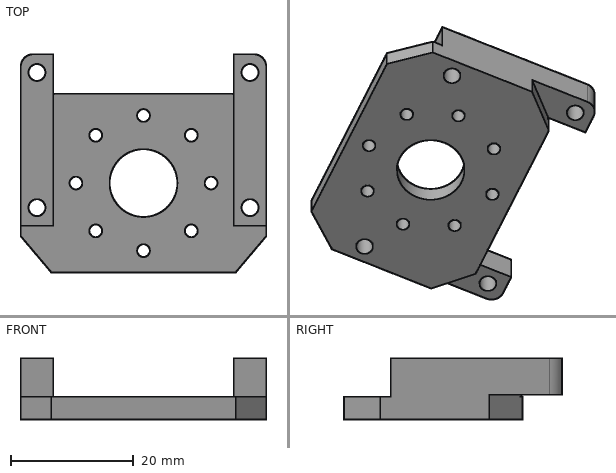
import cadquery as cq

width = 40.0
depth = 35.55
height = 10.0

plate_length = 29.1
plate_thickness = 3.7
front_chamfer_x = 5.0
front_chamfer_y = 5.9
back_chamfer = 5.5

rail_width = 5.3
rail_length = 27.9
rail_underside = 4.0
rail_corner_radius = 2.1
rail_hole_diameter = 2.7
rail_hole_spacing = 22.0
rail_hole_back_margin = 3.0

bore_diameter = 11.0
bolt_circle_diameter = 22.0
bolt_hole_diameter = 2.05
bolt_hole_count = 8

half_width = width / 2
plate_front = -plate_length / 2
plate_back = plate_length / 2
rail_back = plate_front + depth
rail_front = rail_back - rail_length


def make_plate(thickness):
    """Plate of a given thickness with all four corners cut off at an angle."""
    right_side = [
        (half_width - front_chamfer_x, plate_front),
        (half_width, plate_front + front_chamfer_y),
        (half_width, plate_back - back_chamfer),
        (half_width - back_chamfer, plate_back),
    ]
    left_side = [(-x, y) for x, y in reversed(right_side)]
    return cq.Workplane("XY").polyline(right_side + left_side).close().extrude(thickness)


def make_rail(side):
    """Rail on one side (-1 left, +1 right), raised clear of the plate's back corner."""
    rail_x = side * (half_width - rail_width / 2)
    rail_y = (rail_front + rail_back) / 2
    outer_back_edge = "|Z and >Y and " + (">X" if side > 0 else "<X")
    full_height_rail = (
        cq.Workplane("XY")
        .center(rail_x, rail_y)
        .box(rail_width, rail_length, height, centered=(True, True, False))
        .edges(outer_back_edge)
        .fillet(rail_corner_radius)
    )
    below_rail = cq.Workplane("XY").rect(2 * width, 2 * depth).extrude(rail_underside)
    upper = full_height_rail.cut(below_rail)
    foot = full_height_rail.intersect(make_plate(rail_underside))
    return upper.union(foot)


def cut_holes(body):
    """Bore, bolt circle and rail holes, all through."""
    rail_hole_x = half_width - rail_width / 2
    rail_hole_back = rail_back - rail_hole_back_margin
    rail_hole_points = [
        (side * rail_hole_x, y)
        for side in (-1, 1)
        for y in (rail_hole_back, rail_hole_back - rail_hole_spacing)
    ]
    bore = cq.Workplane("XY").circle(bore_diameter / 2).extrude(height)
    bolt_holes = (
        cq.Workplane("XY")
        .polarArray(bolt_circle_diameter / 2, 0, 360, bolt_hole_count)
        .circle(bolt_hole_diameter / 2)
        .extrude(height)
    )
    rail_holes = (
        cq.Workplane("XY").pushPoints(rail_hole_points).circle(rail_hole_diameter / 2).extrude(height)
    )
    return body.cut(bore).cut(bolt_holes).cut(rail_holes)


body = make_plate(plate_thickness).union(make_rail(-1)).union(make_rail(1))
result = cut_holes(body)